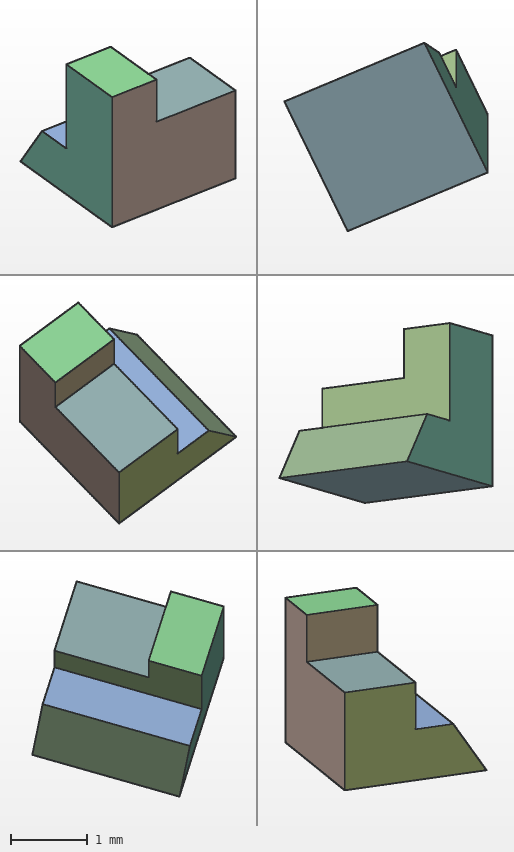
import cadquery as cq

side = 2.0

ledge_height = 0.705
slope_run = 0.47
wall_x = 1.0

tower_depth = 0.72
rear_height = 1.352


def stepped_body():
    """Sloped ledge and upright wall, extruded along the full Y depth."""
    profile = [
        (0, 0),
        (side, 0),
        (side, side),
        (wall_x, side),
        (wall_x, ledge_height),
        (slope_run, ledge_height),
    ]
    return cq.Workplane("XZ").polyline(profile).close().extrude(-side)


def rear_cutout():
    """Volume removed above the lower rear part of the upright wall."""
    size = (side - wall_x, side - tower_depth, side - rear_height)
    corner = (wall_x, tower_depth, rear_height)
    return cq.Workplane("XY").box(*size, centered=False).translate(corner)


result = stepped_body().cut(rear_cutout())